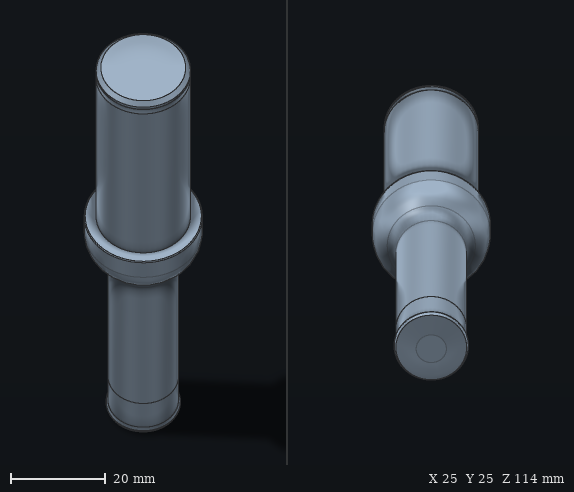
import cadquery as cq
import math

length = 114.0
head_radius = 20.0 / 2
collar_radius = 25.0 / 2
shank_radius = 14.9 / 2

split_z = 10.3
shank_blend_z = 49.2
collar_round_z = 58.9
collar_top_z = 64.1

end_chamfer_height = 0.9
end_chamfer_width = 1.0
groove_upper_z = 112.4
groove_valley_z = 111.7
groove_lower_z = 110.8
groove_depth = 0.5

collar_chamfer = 0.2
collar_round = 7.5

ridge_radius = 7.9
ridge_start_z = 2.3
ridge_top_z = 1.6
ridge_bulge_radius = 7.8
dome_height = 0.7
end_flat_radius = 3.2


def make_pin():
    """Revolved pin: shank, rounded collar and grooved head."""
    round_center_r = collar_radius - collar_round
    offset_r = shank_radius - round_center_r
    center_drop = collar_round_z - shank_blend_z
    blend = (offset_r**2 + center_drop**2 - collar_round**2) / (2 * (collar_round - offset_r))
    blend_center_r = shank_radius + blend
    tangent_angle = math.atan2(center_drop, blend_center_r - round_center_r)

    def blend_point(angle):
        r = blend_center_r - blend * math.cos(angle)
        return r, shank_blend_z + blend * math.sin(angle)

    def round_point(angle):
        r = round_center_r + collar_round * math.cos(angle)
        return r, collar_round_z - collar_round * math.sin(angle)

    return (
        cq.Workplane("XZ")
        .moveTo(0, split_z)
        .lineTo(shank_radius, split_z)
        .lineTo(shank_radius, shank_blend_z)
        .threePointArc(blend_point(tangent_angle / 2), blend_point(tangent_angle))
        .threePointArc(round_point(tangent_angle / 2), (collar_radius, collar_round_z))
        .lineTo(collar_radius, collar_top_z - collar_chamfer)
        .lineTo(collar_radius - collar_chamfer, collar_top_z)
        .lineTo(head_radius, collar_top_z)
        .lineTo(head_radius, groove_lower_z)
        .lineTo(head_radius - groove_depth, groove_valley_z)
        .lineTo(head_radius, groove_upper_z)
        .lineTo(head_radius, length - end_chamfer_height)
        .lineTo(head_radius - end_chamfer_width, length)
        .lineTo(0, length)
        .close()
        .revolve(360, (0, 0), (0, 1))
    )


def make_tip():
    """Revolved tip below the shank, with a retaining ridge and a domed end with a central flat."""
    dome_center_z = (shank_radius**2 + dome_height**2 - end_flat_radius**2) / (2 * dome_height)
    dome_sphere_radius = math.hypot(end_flat_radius, dome_center_z)
    dome_mid_radius = (end_flat_radius + shank_radius) / 2
    dome_mid_z = dome_center_z - math.sqrt(dome_sphere_radius**2 - dome_mid_radius**2)
    ridge_bulge_z = (dome_height + ridge_top_z) / 2
    return (
        cq.Workplane("XZ")
        .moveTo(0, 0)
        .lineTo(end_flat_radius, 0)
        .threePointArc((dome_mid_radius, dome_mid_z), (shank_radius, dome_height))
        .threePointArc((ridge_bulge_radius, ridge_bulge_z), (ridge_radius, ridge_top_z))
        .lineTo(shank_radius, ridge_start_z)
        .lineTo(shank_radius, split_z)
        .lineTo(0, split_z)
        .close()
        .revolve(360, (0, 0), (0, 1))
    )


pin = make_pin()
tip = make_tip()

result = cq.Compound.makeCompound([pin.val(), tip.val()])